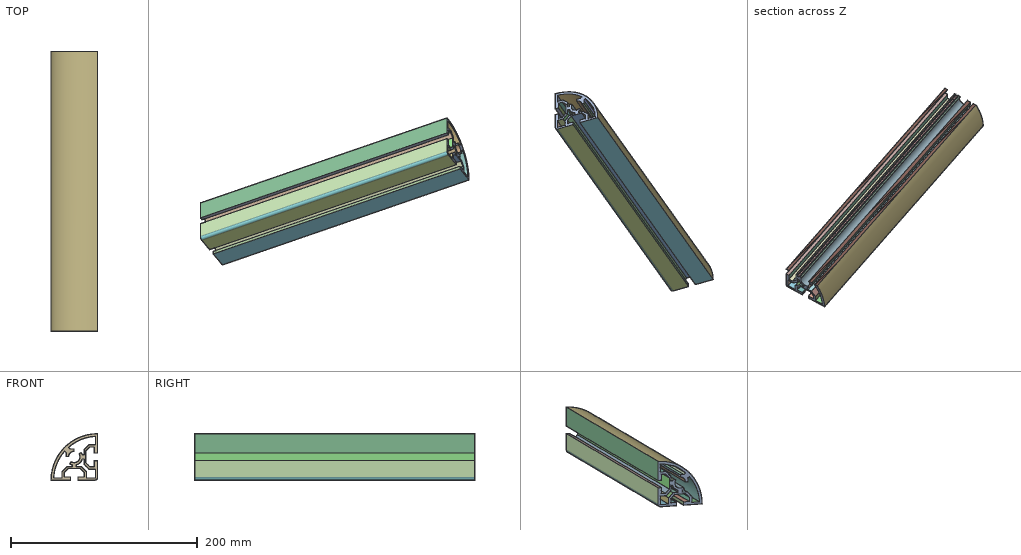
import cadquery as cq
import math

size = 50.0
length = 300.0
diagonal_angle = 45.0
curved_wall = 3.0
flat_wall = 2.5
corner_radius = 3.0

slot_center = size / 2
slot_opening = 8.0
lip_thickness = 3.7
slot_inner_width = 21.0
slot_depth = 12.6
slot_chamfer = 4.3
channel_outer_width = 26.5
channel_outer_depth = 14.5
channel_chamfer = 5.3

bore_radius = 6.0
ring_outer_radius = 8.9
ring_end_angle = 33.0
web_width = 4.7

bracket_reach = 8.6
bracket_end_gap = 0.2
neck_width = 6.0
neck_setback = 1.0


def section():
    """Workplane at the +Y end, origin on the square corner; local x is +X and local y is +Z."""
    return cq.Workplane("XZ", origin=(size / 2, length / 2, -size / 2))


def extrude(outline):
    return outline.extrude(length)


def on_upright_leg(body):
    """Turn a feature of the lower leg about the middle of the section, onto the upright leg."""
    return body.rotate((0, 0, 0), (0, 1, 0), -90)


def quarter_disc(radius):
    diagonal = radius * math.cos(math.radians(diagonal_angle))
    return extrude(
        section()
        .lineTo(-radius, 0)
        .threePointArc((-diagonal, diagonal), (0, radius))
        .close()
    )


def rectangle(left, right, bottom, top):
    return extrude(
        section()
        .moveTo(left, bottom)
        .lineTo(right, bottom)
        .lineTo(right, top)
        .lineTo(left, top)
        .close()
    )


def chamfered_channel(width, bottom, depth, chamfer):
    """Block on the lower leg, with the two corners towards the middle of the section cut at 45 degrees."""
    half = width / 2
    return extrude(
        section()
        .moveTo(-slot_center - half, bottom)
        .lineTo(-slot_center + half, bottom)
        .lineTo(-slot_center + half, depth - chamfer)
        .lineTo(-slot_center + half - chamfer, depth)
        .lineTo(-slot_center - half + chamfer, depth)
        .lineTo(-slot_center - half, depth - chamfer)
        .close()
    )


def outer_shell():
    body = quarter_disc(size).edges("|Y and >X and <Z").fillet(corner_radius)
    inner_limit = rectangle(-size, -flat_wall, flat_wall, size)
    return body.cut(quarter_disc(size - curved_wall).intersect(inner_limit))


def slot_walls():
    return chamfered_channel(channel_outer_width, 0, channel_outer_depth, channel_chamfer)


def slot_space():
    cavity = chamfered_channel(slot_inner_width, lip_thickness, slot_depth, slot_chamfer)
    half = slot_opening / 2
    opening = rectangle(-slot_center - half, -slot_center + half, 0, slot_depth / 2)
    return cavity.union(opening)


def screw_ring():
    """Ring open towards the curved wall, with radial ends."""

    def on_circle(radius, degrees):
        angle = math.radians(degrees)
        return (-slot_center + radius * math.cos(angle), slot_center + radius * math.sin(angle))

    start = ring_end_angle
    middle = -diagonal_angle
    end = -90 - ring_end_angle
    return extrude(
        section()
        .moveTo(*on_circle(bore_radius, start))
        .threePointArc(on_circle(bore_radius, middle), on_circle(bore_radius, end))
        .lineTo(*on_circle(ring_outer_radius, end))
        .threePointArc(on_circle(ring_outer_radius, middle), on_circle(ring_outer_radius, start))
        .close()
    )


def ring_web():
    half = web_width / 2
    ring_middle = slot_center - (bore_radius + ring_outer_radius) / 2
    web_bottom = (slot_depth + channel_outer_depth) / 2
    return rectangle(-slot_center - half, -slot_center + half, web_bottom, ring_middle)


def bracket():
    inner_edge = slot_center + bracket_end_gap
    outer_edge = slot_center + bracket_reach
    arms = rectangle(-outer_edge, -inner_edge, inner_edge, outer_edge)
    arms = arms.cut(extrude(section().center(-slot_center, slot_center).circle(bore_radius)))
    neck_start = math.hypot(slot_center, slot_center) + bore_radius + neck_setback
    neck_end = size - curved_wall / 2
    neck_length = neck_end - neck_start
    neck = extrude(
        section()
        .transformed(rotate=(0, 0, 180 - diagonal_angle))
        .center((neck_start + neck_end) / 2, 0)
        .rect(neck_length, neck_width)
    )
    return arms.union(neck)


def build():
    body = outer_shell().union(screw_ring()).union(bracket())
    for feature in (slot_walls(), ring_web()):
        body = body.union(feature).union(on_upright_leg(feature))
    space = slot_space()
    return body.cut(space).cut(on_upright_leg(space))


result = build()